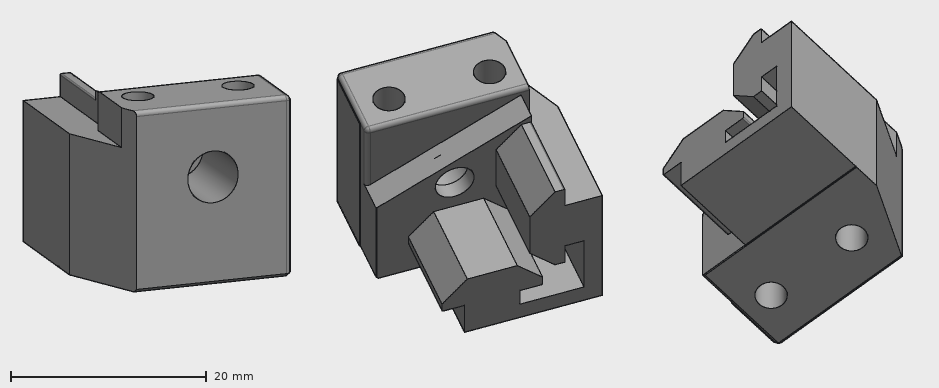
import cadquery as cq
import math

LENGTH = 21.81
DEPTH = 21.05
HEIGHT = 19.22

RAIL_SIZE = 15.0
WALL = 2.0
LIP = 4.05
HEAD_TIP = 1.1
HEAD_TOP = 7.9
NECK_WIDTH = 6.05
HEAD_WIDTH = 10.94
TIP_FILLET = 0.15
NECK_START = RAIL_SIZE - NECK_WIDTH
NEAR_TIP = NECK_START + NECK_WIDTH / 2 - HEAD_WIDTH / 2
FAR_TIP = NEAR_TIP + HEAD_WIDTH

PAD_THICKNESS = 0.1
PAD_START = 14.7
BACK = DEPTH - PAD_THICKNESS

PLATE_START = 10.0
PLATE_PEAK = 18.34
PLATE_SLOPE = 24.25
PLATE_CHAMFER = 0.1

BLOCK_START = 13.1
BLOCK_FRONT = 3.15
BLOCK_BOTTOM = RAIL_SIZE / 2
BLOCK_FILLET = 0.5
BOTTOM_CHAMFER = 0.35
CORNER_CUT_START = 13.2
CORNER_CUT_DEPTH = LIP

RAIL_HOLE_DIAMETER = 4.2
RAIL_HOLE_Y = 12.4
RAIL_HOLE_Z = 11.45
COUNTERBORE_DIAMETER = 5.5
COUNTERBORE_START = 11.8
BLOCK_HOLE_DIAMETER = 3.3
BLOCK_HOLE_X = 16.45
BLOCK_HOLE_Y = 6.24
BLOCK_HOLE_SPACING = 10.95


def extrude_along_x(points, start, end):
    """Extrude a YZ outline between two X positions."""
    return cq.Workplane("YZ", origin=(start, 0, 0)).polyline(points).close().extrude(end - start)


def tongue_outline():
    """Base strip and T tongue pointing up, in (across, out) coordinates."""
    tip_top = LIP + HEAD_TIP
    flank = HEAD_TOP - tip_top
    return [
        (0, 0),
        (RAIL_SIZE, 0),
        (RAIL_SIZE, LIP),
        (FAR_TIP, LIP),
        (FAR_TIP, tip_top),
        (FAR_TIP - flank, HEAD_TOP),
        (NEAR_TIP + flank, HEAD_TOP),
        (NEAR_TIP, tip_top),
        (NEAR_TIP, LIP),
        (NECK_START, LIP),
        (NECK_START, WALL),
        (0, WALL),
    ]


def fillet_edge(body, y, z):
    """Round the tongue edge that runs along X at the given Y and Z."""
    edge_point = (PLATE_START / 2, y, z)
    return body.edges(cq.selectors.NearestToPointSelector(edge_point)).fillet(TIP_FILLET)


def make_rail():
    """Two T tongues at right angles, mirror images across the 45 degree diagonal."""
    upright = tongue_outline()
    sideways = [(out, across) for across, out in upright]
    upward_tongue = extrude_along_x(upright, 0, PLATE_START)
    sideways_tongue = extrude_along_x(sideways, 0, PLATE_START)
    for tip in (NEAR_TIP, FAR_TIP):
        upward_tongue = fillet_edge(upward_tongue, tip, LIP)
    sideways_tongue = fillet_edge(sideways_tongue, LIP, FAR_TIP)
    return upward_tongue.union(sideways_tongue)


def prism(start, front, bottom):
    """Upright box to the far end and the back face, with a rounded far back edge."""
    size = (LENGTH - start, BACK - front, HEIGHT - bottom)
    body = cq.Workplane("XY", origin=(start, front, bottom)).box(*size, centered=False)
    return body.edges("|Z and >X and >Y").fillet(BLOCK_FILLET)


def make_plate():
    """Plate across the end of the rail, with a low front ledge and a sloped top."""
    back_height = PLATE_PEAK - (BACK - LIP) * math.tan(math.radians(PLATE_SLOPE))
    side = [
        (0, 0),
        (BACK, 0),
        (BACK, back_height),
        (LIP, PLATE_PEAK),
        (LIP, RAIL_SIZE),
        (0, RAIL_SIZE),
    ]
    plate = prism(PLATE_START, 0, 0).faces("<Z").edges(">Y").chamfer(BOTTOM_CHAMFER)
    plate = plate.intersect(extrude_along_x(side, PLATE_START, LENGTH))
    return plate.faces("<X").edges(">Y or <Z").chamfer(PLATE_CHAMFER)


def make_block():
    """Raised mounting block, rounded along its top and its upright back edges."""
    block = prism(BLOCK_START, BLOCK_FRONT, BLOCK_BOTTOM)
    block = block.edges("|Z and <X and >Y").fillet(BLOCK_FILLET)
    return block.faces(">Z").edges(">Y").fillet(BLOCK_FILLET)


def make_back_pad():
    """Thin pad covering the flat of the back face, from PAD_START to the rounded far edge."""
    pad_size = (
        LENGTH - BLOCK_FILLET - PAD_START,
        PAD_THICKNESS,
        HEIGHT - BLOCK_FILLET - BOTTOM_CHAMFER,
    )
    return cq.Workplane("XY", origin=(PAD_START, BACK, BOTTOM_CHAMFER)).box(*pad_size, centered=False)


def make_corner_cut():
    """Wedge removed from the front corner over the full height."""
    wedge = [(CORNER_CUT_START, 0), (LENGTH, 0), (LENGTH, CORNER_CUT_DEPTH)]
    return cq.Workplane("XY").polyline(wedge).close().extrude(HEIGHT)


def make_rail_hole():
    """Screw hole along X, with a counterbore from the far side."""
    side = cq.Workplane("YZ", origin=(PLATE_START, RAIL_HOLE_Y, RAIL_HOLE_Z))
    hole = side.circle(RAIL_HOLE_DIAMETER / 2).extrude(LENGTH - PLATE_START)
    far_side = side.workplane(offset=LENGTH - PLATE_START)
    counterbore = far_side.circle(COUNTERBORE_DIAMETER / 2).extrude(COUNTERBORE_START - LENGTH)
    return hole.union(counterbore)


def make_block_holes():
    """Pair of holes through the full height of the block."""
    centres = [(BLOCK_HOLE_X, BLOCK_HOLE_Y), (BLOCK_HOLE_X, BLOCK_HOLE_Y + BLOCK_HOLE_SPACING)]
    return cq.Workplane("XY").pushPoints(centres).circle(BLOCK_HOLE_DIAMETER / 2).extrude(HEIGHT)


part = make_rail().union(make_plate()).union(make_block()).union(make_back_pad())
for cutter in (make_corner_cut(), make_rail_hole(), make_block_holes()):
    part = part.cut(cutter)
result = part